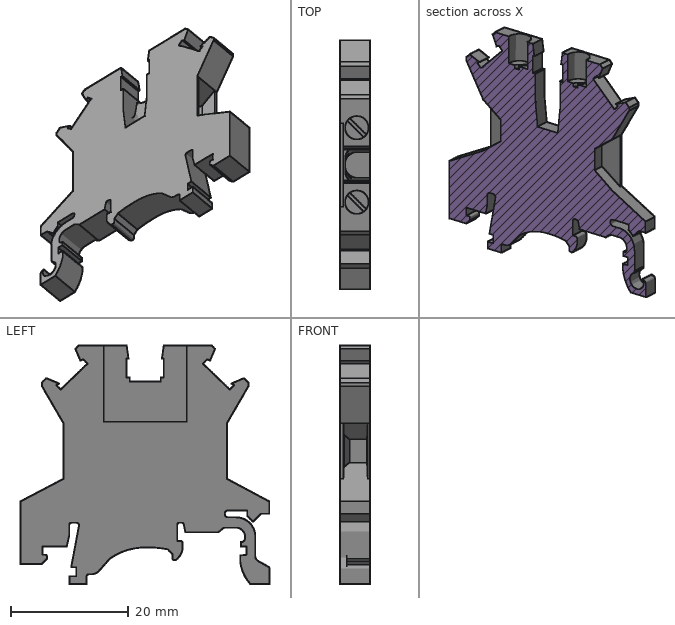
import cadquery as cq
import math


thickness = 5.15
height = 40.7
fixed_side_y = 21.3
spring_side_y = -21.23
spring_shoulder_y = -21.17

waist_y = 13.97
waist_top_z = 27.45
waist_bottom_z = 17.95
shoulder_z = 14.1

rail_edge_chamfer = 0.6
upper_tip_y = 11.93
upper_barb_z = 38.05
slope_top = (9.85, 37.6)
slope_bottom = (14.41, 33.2)
hook_notch = 0.74
lower_tip_y = 17.63
lower_tip_z = 34.35
lower_tip_chamfer = 0.78
lower_tip_edge = 0.6

marker_half = 3.15
marker_lip_half = 2.83
marker_lip_drop = 2.25
marker_step_drop = 5.45
marker_floor_half = 2.63
marker_floor_drop = 6.15

label_half = 7.1
label_depth = 0.6
label_bottom_z = 27.65

screw_spacing = 12.7
screw_x = 2.88
screw_diameter = 4.0
screw_well_depth = 5.0
driver_slot_width = 0.61
driver_slot_depth = 0.6
driver_slot_angle = -45

bridge_wall_x = 0.9
bridge_top_half = 3.1
bridge_floor_half = 2.17
bridge_radius = 1.95
bridge_depth = 9.0

funnel_mid_z = (waist_top_z + waist_bottom_z) / 2
funnel_mouth_half = (waist_top_z - waist_bottom_z) / 2
funnel_end_half = 1.97
funnel_depth = 3.8
funnel_neck = 0.72
funnel_sections = [
    (0.0, 0.6, 4.72),
    (funnel_neck, 0.7, 4.65),
    (1.0, 1.65, 4.58),
]

rail_seat_z = 6.37
rail_hook_z = 5.0
gap_top_z = 10.45
fixed_gap_y = 12.1
spring_gap_y = -6.0
belly_z = 8.82

spring_y = -15.5
spring_z = 8.1
spring_outer_radius = 3.3
spring_inner_radius = 1.5
spring_outer_y = spring_y - spring_outer_radius
heel_top_z = 2.85
heel_top_radius = 0.5
heel_root_z = 4.2
heel_root_radius = 1.0
spring_roof_z = 12.53

release_mouth_z = 4.8
release_edge_z = 4.3
release_edge_depth = 0.15
release_bevel_z = 3.85
release_floor_y = -18.87
release_floor_z = 1.16
release_lip_y = -20.5
release_lip_z = 3.25
release_web = 1.2


def corner(y, z, radius=0.0):
    return ("corner", (y, z), radius)


def through(y, z):
    """Middle point of an arc joining the sharp corners before and after it."""
    return ("through", (y, z), 0.0)


def round_corner(before, point, after, radius):
    """Start, middle and end of the tangent arc that rounds a corner."""
    to_before = cq.Vector(*before) - cq.Vector(*point)
    to_after = cq.Vector(*after) - cq.Vector(*point)
    half_angle = to_before.getAngle(to_after) / 2
    to_before = to_before.normalized()
    to_after = to_after.normalized()
    setback = radius / math.tan(half_angle)
    to_centre = (to_before + to_after).normalized()
    middle_reach = radius / math.sin(half_angle) - radius
    vertex = cq.Vector(*point)
    start = vertex + to_before * setback
    middle = vertex + to_centre * middle_reach
    end = vertex + to_after * setback
    return [(p.x, p.y) for p in (start, middle, end)]


def plate(outline):
    """Full-thickness plate from corners and arcs given in the YZ plane."""
    points = [item[1] for item in outline]
    sketch = cq.Workplane("YZ").moveTo(*points[0])
    count = len(outline)
    for i in range(1, count):
        kind, point, radius = outline[i]
        if kind == "through":
            sketch = sketch.threePointArc(point, points[(i + 1) % count])
        elif radius > 0:
            start, middle, end = round_corner(points[i - 1], point, points[(i + 1) % count], radius)
            sketch = sketch.lineTo(*start).threePointArc(middle, end)
        elif outline[i - 1][0] == "corner":
            sketch = sketch.lineTo(*point)
    return sketch.close().extrude(thickness)


def upper_half():
    """Housing above the waist, on the +Y side."""
    top_y, top_z = slope_top
    bottom_y, bottom_z = slope_bottom
    return plate([
        corner(0, waist_bottom_z),
        corner(0, height),
        corner(upper_tip_y - rail_edge_chamfer, height),
        corner(upper_tip_y, height - rail_edge_chamfer),
        corner(11.05, upper_barb_z),
        corner(top_y + hook_notch, top_z + hook_notch),
        corner(top_y, top_z),
        corner(bottom_y, bottom_z),
        corner(bottom_y + hook_notch, bottom_z + hook_notch),
        corner(14.66, 34.2),
        corner(lower_tip_y - lower_tip_chamfer, lower_tip_z + lower_tip_chamfer),
        corner(lower_tip_y, lower_tip_z),
        corner(lower_tip_y, lower_tip_z - lower_tip_edge),
        corner(waist_y, waist_top_z),
        corner(waist_y, waist_bottom_z),
    ])


def fixed_foot():
    """Rigid foot at +Y with the hook that grips the rail edge."""
    hook_tip_y = 16.73
    hook_tip_z = 4.3
    hook_bevel = 0.9
    hook_corner_radius = 0.3
    rail_stop_y = 17.48
    gap_edge_y = 12.95
    gap_flare_y = 13.36
    gap_flare_z = 8.25
    gap_radius = 0.4
    bottom_z = hook_tip_z - hook_bevel
    return plate([
        corner(fixed_gap_y, waist_bottom_z),
        corner(waist_y, waist_bottom_z),
        corner(fixed_side_y, shoulder_z),
        corner(fixed_side_y, bottom_z),
        corner(hook_tip_y + hook_bevel, bottom_z),
        corner(hook_tip_y, hook_tip_z),
        corner(hook_tip_y, rail_hook_z, hook_corner_radius),
        corner(rail_stop_y, rail_hook_z),
        corner(rail_stop_y, rail_seat_z),
        corner(gap_flare_y, rail_seat_z),
        corner(gap_edge_y, gap_flare_z),
        corner(gap_edge_y, gap_top_z, gap_radius),
        corner(fixed_gap_y, gap_top_z),
    ])


def saddle():
    """Central support: notched leg at +Y, arched underside, small claw at -Y."""
    leg_outer_y = 12.95
    leg_inner_y = 10.0
    notch_y = 11.78
    notch_bottom_z = 1.35
    notch_top_z = 2.83
    fillet_z = 1.65
    arch_start = (6.0, 4.35)
    arch_crown = (-0.45, 6.22)
    arch_end = (-3.85, 5.9)
    claw_inner_y = -4.63
    claw_bottom_z = 4.1
    claw_outer_y = -6.4
    claw_top_z = 7.37
    gap_edge_y = -5.5
    return plate([
        corner(fixed_gap_y, waist_bottom_z),
        corner(fixed_gap_y, gap_top_z),
        corner(11.22, gap_top_z, 0.45),
        corner(12.65, notch_top_z),
        corner(notch_y, notch_top_z),
        corner(notch_y, notch_bottom_z),
        corner(leg_outer_y, notch_bottom_z),
        corner(leg_outer_y, 0),
        corner(leg_inner_y, 0),
        corner(leg_inner_y, fillet_z, 0.4),
        corner(8.38, fillet_z, 1.8),
        corner(*arch_start),
        through(2.97, 5.8),
        corner(*arch_crown),
        through(-2.2, 6.15),
        corner(*arch_end),
        corner(claw_inner_y, 5.1),
        corner(claw_inner_y, claw_bottom_z, 0.3),
        corner(-5.25, claw_bottom_z),
        through(-5.98, 4.9),
        corner(claw_outer_y, 5.95),
        corner(claw_outer_y, claw_top_z, 0.4),
        corner(gap_edge_y, claw_top_z),
        corner(gap_edge_y, gap_top_z, 0.3),
        corner(spring_gap_y, gap_top_z),
        corner(spring_gap_y, waist_bottom_z),
    ])


def spring():
    """Shoulder at -Y with its stop wedge, and the bent spring arm below it."""
    bend = spring_outer_radius * math.sqrt(0.5)
    inner_bend = spring_inner_radius * math.sqrt(0.5)
    arm_top_z = spring_z + spring_outer_radius
    arm_underside_z = spring_z + spring_inner_radius
    barb_y = -16.3
    barb_top_z = 7.2
    rail_stop_y = -17.25
    heel_inner_y = -16.17
    heel_edge_z = 4.9
    slot_end_y = -13.6
    slot_radius = 0.5
    wedge_y = -17.4
    wedge_tip_y = -18.4
    wedge_tip_z = 10.6
    wedge_rise = 1.35
    shoulder_bottom_z = wedge_tip_z + wedge_rise
    return plate([
        corner(spring_gap_y, waist_bottom_z),
        corner(spring_gap_y, gap_top_z),
        corner(-6.5, gap_top_z, 0.4),
        corner(-6.83, belly_z),
        corner(-12.5, belly_z),
        corner(-13.4, arm_underside_z, 0.8),
        corner(spring_y, arm_underside_z),
        through(spring_y - inner_bend, spring_z + inner_bend),
        corner(spring_y - spring_inner_radius, spring_z),
        corner(-16.95, barb_top_z, 0.5),
        corner(barb_y, barb_top_z),
        corner(barb_y, rail_seat_z),
        corner(rail_stop_y, rail_seat_z),
        corner(rail_stop_y, rail_hook_z),
        corner(heel_inner_y, heel_edge_z),
        corner(heel_inner_y, 3.87),
        through(-16.75, 1.8),
        corner(-17.9, 0),
        corner(spring_side_y, 0),
        corner(spring_side_y, heel_top_z, heel_top_radius),
        corner(spring_outer_y, heel_root_z, heel_root_radius),
        corner(spring_outer_y, spring_z),
        through(spring_y - bend, spring_z + bend),
        corner(spring_y, arm_top_z),
        corner(slot_end_y, arm_top_z, slot_radius),
        corner(slot_end_y, spring_roof_z, slot_radius),
        corner(wedge_y, spring_roof_z),
        corner(wedge_y, 11.6),
        corner(wedge_tip_y, wedge_tip_z),
        corner(wedge_tip_y - wedge_rise, shoulder_bottom_z),
        corner(spring_shoulder_y, shoulder_bottom_z),
        corner(spring_shoulder_y, shoulder_z),
        corner(-waist_y, waist_bottom_z),
    ])


def marker_groove():
    """Groove for the wire marker, narrowed by two snap lips near the top."""
    lip_z = height - marker_lip_drop
    step_z = height - marker_step_drop
    floor_z = height - marker_floor_drop
    half = [
        (marker_half, height),
        (marker_lip_half, lip_z),
        (marker_half, lip_z),
        (marker_half, step_z),
        (marker_floor_half, step_z),
        (marker_floor_half, floor_z),
    ]
    other_half = [(-y, z) for y, z in reversed(half)]
    return cq.Workplane("YZ").polyline(half + other_half).close().extrude(thickness)


def label_recess():
    return cq.Workplane("XY").box(
        label_depth, 2 * label_half, height - label_bottom_z, centered=(False, True, False)
    ).translate((0, 0, label_bottom_z))


def screw_wells():
    """Round wells, each ending on a screw head with a diagonal driver slot."""
    head_z = height - screw_well_depth
    wells = cq.Workplane("XY")
    for y in (-screw_spacing / 2, screw_spacing / 2):
        head = cq.Workplane("XY", origin=(screw_x, y, head_z))
        well = head.circle(screw_diameter / 2).extrude(screw_well_depth)
        slot = (
            head.transformed(rotate=(0, 0, driver_slot_angle))
            .rect(screw_diameter, driver_slot_width)
            .extrude(-driver_slot_depth)
            .intersect(head.circle(screw_diameter / 2).extrude(-driver_slot_depth))
        )
        wells = wells.add(well).add(slot)
    return wells.combine()


def bridge_section(half, z):
    """Section of the bridge well: round corners at -X, open at +X."""
    round_x = bridge_wall_x + bridge_radius
    flat_half = half - bridge_radius
    arc_inset = bridge_radius * (1 - math.sqrt(0.5))
    return (
        cq.Workplane("XY", origin=(0, 0, z))
        .moveTo(thickness, half)
        .lineTo(round_x, half)
        .threePointArc((bridge_wall_x + arc_inset, half - arc_inset), (bridge_wall_x, flat_half))
        .lineTo(bridge_wall_x, -flat_half)
        .threePointArc((bridge_wall_x + arc_inset, arc_inset - half), (round_x, -half))
        .lineTo(thickness, -half)
        .close()
    )


def bridge_well():
    """Well tapering to its floor, no wider than the floor of the marker groove."""
    top_z = height - marker_floor_drop
    floor_z = top_z - bridge_depth
    top = bridge_section(bridge_top_half, top_z).wire().val()
    floor = bridge_section(bridge_floor_half, floor_z).wire().val()
    taper = cq.Workplane(cq.Solid.makeLoft([floor, top], True))
    width_limit = cq.Workplane("XY", origin=(0, 0, floor_z)).box(
        thickness, 2 * marker_floor_half, bridge_depth, centered=(False, True, False)
    )
    return taper.intersect(width_limit)


def funnel_half(share):
    """Half height of the funnel at a share of its depth."""
    return funnel_mouth_half + share * (funnel_end_half - funnel_mouth_half)


def funnel_wire(share, x_start, x_end):
    y = share * funnel_depth - waist_y
    bottom_z = funnel_mid_z - funnel_half(share)
    top_z = funnel_mid_z + funnel_half(share)
    corners = [(x_start, bottom_z), (x_end, bottom_z), (x_end, top_z), (x_start, top_z)]
    return cq.Wire.makePolygon([cq.Vector(x, y, z) for x, z in corners], close=True)


def funnel():
    """Wire entry in the -Y waist face, its sides closing only past the neck."""
    mouth, neck, end = [funnel_wire(*section) for section in funnel_sections]
    outer = cq.Workplane(cq.Solid.makeLoft([mouth, neck], True))
    inner = cq.Workplane(cq.Solid.makeLoft([neck, end], True))
    return outer.union(inner, clean=True)


def release_groove():
    """Round undercut groove in the heel, closed towards -X by the web."""
    return (
        cq.Workplane("YZ", origin=(release_web, 0, 0))
        .moveTo(release_lip_y, release_mouth_z)
        .lineTo(spring_outer_y, release_mouth_z)
        .lineTo(spring_outer_y, release_edge_z)
        .lineTo(spring_outer_y + release_edge_depth, release_bevel_z)
        .threePointArc((release_floor_y, release_floor_z), (release_lip_y, release_lip_z))
        .close()
        .extrude(thickness - release_web)
    )


housing = upper_half().union(upper_half().mirror("XZ"))
body = housing.union(fixed_foot()).union(saddle()).union(spring()).clean()
result = (
    body.cut(marker_groove())
    .cut(label_recess())
    .cut(screw_wells())
    .cut(bridge_well())
    .cut(funnel())
    .cut(funnel().mirror("XZ"))
    .cut(release_groove())
    .clean()
)